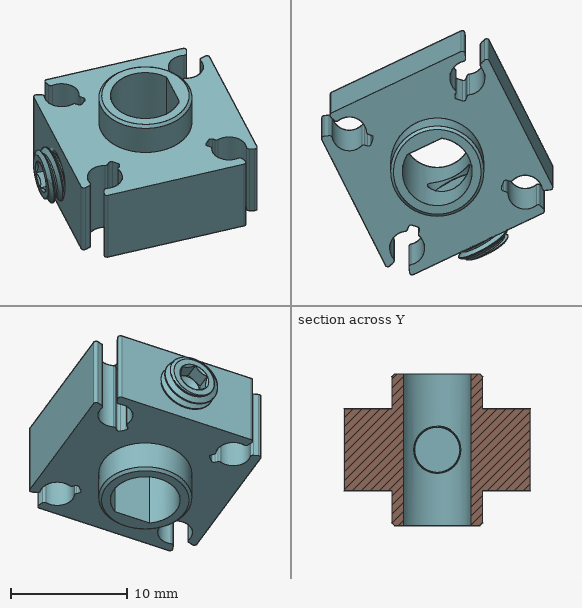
import cadquery as cq
import math

block_side = 16.0
block_height = 7.06

hub_diameter = 8.0
hub_length = 13.05
hub_chamfer = 0.25
bore_diameter = 6.0
bore_flat_distance = 2.5

notch_centre = 7.99
notch_diameter = 3.0
keyway_bottom = 5.92
keyway_width = 1.0
neck_width = 1.2
mouth_half_angle = 26.0
notch_fillet = 0.25
keyway_edge_fillet = 0.25
notch_count = 4
first_notch_angle = 45.0

screw_protrusion = 1.52
screw_length = 6.35
thread_diameter = 4.84
root_diameter = 3.87
thread_pitch = 0.794
crest_width = 0.1
thread_angle = 60.0
crest_position = 8.32
screw_chamfer_length = 0.32
tapped_hole_diameter = 4.05

hex_across_flats = 2.38
hex_depth = 1.4
hex_turn = 25.0
countersink_diameter = 2.77
drill_point_angle = 118.0

notch_radius = notch_diameter / 2
notch_neck = notch_centre + math.sqrt(notch_radius**2 - (neck_width / 2) ** 2)
keyway_edge = notch_centre - math.sqrt(notch_radius**2 - (keyway_width / 2) ** 2)
corner_distance = block_side / math.sqrt(2)
mouth_slope = math.tan(math.radians(mouth_half_angle))
mouth_half_width = neck_width / 2 + mouth_slope * (corner_distance - notch_neck)
screw_head = block_side / 2 + screw_protrusion
screw_tip = screw_head - screw_length


def notch_cutter():
    """Notch with sharp corners, pointing along +X from the block axis."""
    pocket = cq.Workplane("XY").center(notch_centre, 0).circle(notch_radius).extrude(block_height)
    keyway_length = notch_centre - keyway_bottom
    keyway = (
        cq.Workplane("XY")
        .center(keyway_bottom + keyway_length / 2, 0)
        .rect(keyway_length, keyway_width)
        .extrude(block_height)
    )
    mouth = (
        cq.Workplane("XY")
        .moveTo(notch_centre, -neck_width / 2)
        .lineTo(notch_neck, -neck_width / 2)
        .lineTo(corner_distance, -mouth_half_width)
        .lineTo(corner_distance, mouth_half_width)
        .lineTo(notch_neck, neck_width / 2)
        .lineTo(notch_centre, neck_width / 2)
        .close()
        .extrude(block_height)
    )
    return pocket.union(keyway).union(mouth).translate((0, 0, -block_height / 2))


def fillet_upright_edges(body, axis_distance, radius):
    """Round the upright edges that lie at the given distance from the Z axis."""
    tolerance = 0.002
    edges = [
        edge
        for edge in body.edges("|Z").vals()
        if abs(math.hypot(edge.Center().x, edge.Center().y) - axis_distance) < tolerance
    ]
    return body.newObject(edges).fillet(radius)


def make_block():
    """Square block with a rounded notch at each corner."""
    block = cq.Workplane("XY").box(block_side, block_side, block_height)
    for index in range(notch_count):
        angle = first_notch_angle + index * 360 / notch_count
        block = block.cut(notch_cutter().rotate((0, 0, 0), (0, 0, 1), angle))

    lip = (corner_distance - neck_width / 2 + mouth_slope * notch_neck) / (1 + mouth_slope)
    block = fillet_upright_edges(block, math.hypot(lip, corner_distance - lip), notch_fillet)
    block = fillet_upright_edges(block, math.hypot(notch_neck, neck_width / 2), notch_fillet)
    block = fillet_upright_edges(block, math.hypot(keyway_bottom, keyway_width / 2), notch_fillet)
    return fillet_upright_edges(block, math.hypot(keyway_edge, keyway_width / 2), keyway_edge_fillet)


def make_hub():
    """Chamfered cylinder running right through the block."""
    hub = cq.Workplane("XY").circle(hub_diameter / 2).extrude(hub_length / 2, both=True)
    return hub.faces("|Z").edges().chamfer(hub_chamfer)


def bore_cutter():
    """Round bore with one flat on the +Y side."""
    bore = cq.Workplane("XY").circle(bore_diameter / 2).extrude(hub_length / 2, both=True)
    beyond_flat = cq.Workplane("XY").box(
        bore_diameter, bore_diameter, hub_length
    ).translate((0, bore_flat_distance + bore_diameter / 2, 0))
    return bore.cut(beyond_flat)


def point_screw_axis(shape):
    """Turn a shape built along +Z so that its axis points along -Y."""
    return shape.rotate((0, 0, 0), (1, 0, 0), 90)


def thread_ridge():
    """Right-handed helical ridge with a narrow flat crest, its foot sunk a little into the core."""
    sunk_foot = 0.04
    foot_radius = root_diameter / 2 - sunk_foot
    crest_radius = thread_diameter / 2
    flank_slope = math.tan(math.radians(thread_angle / 2))
    half_crest = crest_width / 2
    half_foot = half_crest + (crest_radius - foot_radius) * flank_slope

    start = crest_position - thread_pitch * math.ceil((crest_position - screw_tip) / thread_pitch + 1)
    turns = math.ceil((screw_head - start) / thread_pitch) + 1

    helix = cq.Wire.makeHelix(thread_pitch, turns * thread_pitch, root_diameter / 2)
    profile = (
        cq.Workplane("XZ")
        .moveTo(foot_radius, -half_foot)
        .lineTo(crest_radius, -half_crest)
        .lineTo(crest_radius, half_crest)
        .lineTo(foot_radius, half_foot)
        .close()
    )
    return profile.sweep(cq.Workplane(helix), isFrenet=True).translate((0, 0, start))


def screw_envelope():
    """Spindle wider than the thread whose cones chamfer the thread down to its root at both ends."""
    margin = 0.26
    chamfer_depth = (thread_diameter - root_diameter) / 2
    cone_height = screw_chamfer_length * (1 + margin / chamfer_depth)
    end_radius = root_diameter / 2
    outer_radius = thread_diameter / 2 + margin
    return (
        cq.Workplane("XZ")
        .moveTo(0, screw_tip)
        .lineTo(end_radius, screw_tip)
        .lineTo(outer_radius, screw_tip + cone_height)
        .lineTo(outer_radius, screw_head - cone_height)
        .lineTo(end_radius, screw_head)
        .lineTo(0, screw_head)
        .close()
        .revolve(360, (0, 0, 0), (0, 1, 0))
    )


def hex_socket():
    """Hexagon hole with a conical floor and a countersunk rim, opening at the screw head."""
    hex_corners = hex_across_flats / math.cos(math.radians(30))
    hexagon = (
        cq.Workplane("XY")
        .polygon(6, hex_corners)
        .extrude(hex_depth)
        .rotate((0, 0, 0), (0, 0, 1), hex_turn)
        .translate((0, 0, screw_head - hex_depth))
    )
    point_radius = hex_across_flats / 2
    point_height = point_radius / math.tan(math.radians(drill_point_angle / 2))
    drill_point = cq.Solid.makeCone(0, point_radius, point_height).translate(
        cq.Vector(0, 0, screw_head - hex_depth - point_height)
    )
    rim_radius = countersink_diameter / 2
    countersink = cq.Solid.makeCone(0, rim_radius, rim_radius).translate(
        cq.Vector(0, 0, screw_head - rim_radius)
    )
    return hexagon.union(cq.Workplane(drill_point)).union(cq.Workplane(countersink))


def make_screw():
    """Threaded set screw with chamfered ends and a hexagon socket."""
    core = cq.Workplane("XY", origin=(0, 0, screw_tip)).circle(root_diameter / 2).extrude(screw_length)
    threaded = core.union(thread_ridge().intersect(screw_envelope()))
    return point_screw_axis(threaded.cut(hex_socket()))


def tapped_hole_cutter():
    """Core hole of the thread, from the -Y face into the bore."""
    hole = cq.Workplane("XY").circle(tapped_hole_diameter / 2).extrude(block_side / 2)
    return point_screw_axis(hole)


screw = make_screw()

housing = make_block().union(make_hub()).cut(bore_cutter()).cut(tapped_hole_cutter()).cut(screw)

result = cq.Compound.makeCompound([housing.val(), screw.val()])